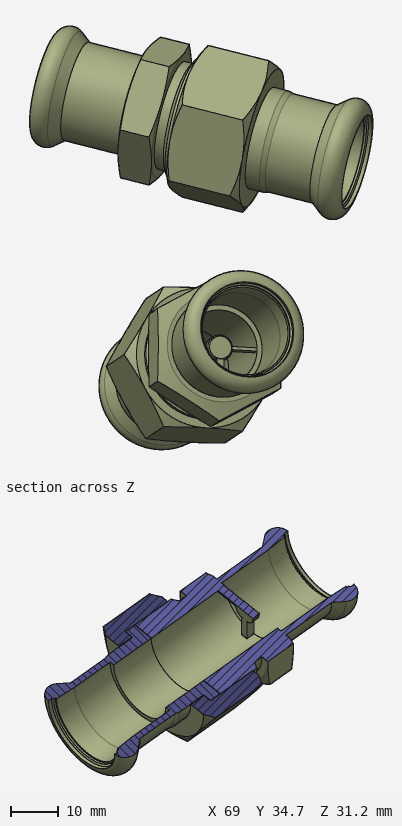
import cadquery as cq
import math


length = 69.0
bore_dia = 16.0

tube_dia = 21.4
bead_dia = 26.2
bead_round = 2.8
bead_back_angle = 38.0
mouth_dia = 20.3
mouth_depth = 0.8
lip_dia = 19.45
lip_step = 1.1
lip_depth = 1.6
socket_dia = 18.8
socket_depth = 6.55
tube_bore_dia = 18.2

hex_start = 20.0
hex_end = 27.95
hex_across_corners = 31.2
hex_chamfer_angle = 15.0
hex_front_circle = 23.4
neck_dia = 23.4
neck_end = 29.95
thread_start = 30.85
thread_dia = 26.4

seat_x = 41.4
collar_dia = 22.0
collar_end = 51.0
collar_taper_end = 52.2
flange_thickness = 2.75

nut_start = 31.8
nut_end = 47.9
nut_across_corners = 34.65
nut_chamfer_angle = 30.0
nut_hole_dia = 22.1

hub_dia = 5.4
hub_chamfer = 0.3
hub_length = 2.1
spoke_setback = 0.1
side_spoke_width = 0.7
bottom_spoke_width = 1.6


def cylinder(start, end, diameter):
    """Round bar along X."""
    return cq.Workplane("YZ", origin=(start, 0, 0)).circle(diameter / 2).extrude(end - start)


def spin(profile):
    """Revolve an (x, radius) profile about the X axis."""
    return profile.close().revolve(360, (0, 0, 0), (1, 0, 0))


def chamfered_hexagon(start, end, across_corners, angle, start_circle, end_circle, turn):
    """Hexagon along X with its corners turned down by a cone at each end."""
    prism = cq.Workplane("YZ").polygon(6, across_corners).extrude(end - start)
    prism = prism.rotate((0, 0, 0), (1, 0, 0), turn).translate((start, 0, 0))
    corner = across_corners / 2
    slope = math.tan(math.radians(angle))
    envelope = spin(
        cq.Workplane("XY")
        .moveTo(start, 0)
        .lineTo(start, start_circle / 2)
        .lineTo(start + (corner - start_circle / 2) * slope, corner)
        .lineTo(end - (corner - end_circle / 2) * slope, corner)
        .lineTo(end, end_circle / 2)
        .lineTo(end, 0)
    )
    return prism.intersect(envelope)


def across_flats(across_corners):
    return across_corners * math.cos(math.pi / 6)


def press_end(tube_end):
    """Solid outside of a press-fit end: rounded bead, cone behind it and tube."""
    center_radius = bead_dia / 2 - bead_round
    angle = math.radians(bead_back_angle)
    tangent_x = bead_round * (1 + math.sin(angle))
    tangent_radius = center_radius + bead_round * math.cos(angle)
    cone_end = tangent_x + (tangent_radius - tube_dia / 2) / math.tan(angle)
    return spin(
        cq.Workplane("XY")
        .lineTo(0, center_radius)
        .threePointArc((bead_round, bead_dia / 2), (tangent_x, tangent_radius))
        .lineTo(cone_end, tube_dia / 2)
        .lineTo(tube_end, tube_dia / 2)
        .lineTo(tube_end, 0)
    )


def socket(depth):
    """Stepped cavity of a press-fit end, with its stop face at the given depth."""
    return spin(
        cq.Workplane("XY")
        .lineTo(0, mouth_dia / 2)
        .lineTo(mouth_depth, mouth_dia / 2)
        .lineTo(lip_step, lip_dia / 2)
        .lineTo(lip_depth, lip_dia / 2)
        .lineTo(lip_depth, socket_dia / 2)
        .lineTo(socket_depth, tube_bore_dia / 2)
        .lineTo(depth, tube_bore_dia / 2)
        .lineTo(depth, 0)
    )


def at_right_end(shape):
    """Turn a shape built at the left end over to the right end."""
    return shape.mirror("YZ").translate((length, 0, 0))


def make_hub():
    """Round hub with one spoke toward -Y and one toward -Z."""
    hub = cylinder(hex_start, hex_start + hub_length, hub_dia).faces("<X").chamfer(hub_chamfer)
    spoke_start = hex_start + spoke_setback
    spoke_length = hub_length - spoke_setback
    reach = (bore_dia + tube_bore_dia) / 4
    side = cq.Workplane("XY").box(spoke_length, reach, side_spoke_width, centered=(False, False, True))
    bottom = cq.Workplane("XY").box(spoke_length, bottom_spoke_width, reach, centered=(False, True, False))
    side = side.translate((spoke_start, -reach, 0))
    bottom = bottom.translate((spoke_start, 0, -reach))
    return hub.union(side).union(bottom)


def make_threaded_tail():
    tail = press_end(hex_start)
    tail = tail.union(
        chamfered_hexagon(
            hex_start, hex_end, hex_across_corners, hex_chamfer_angle,
            hex_front_circle, across_flats(hex_across_corners), 90,
        )
    )
    shank = spin(
        cq.Workplane("XY")
        .moveTo(hex_end, 0)
        .lineTo(hex_end, neck_dia / 2)
        .lineTo(neck_end, neck_dia / 2)
        .lineTo(thread_start, thread_dia / 2)
        .lineTo(seat_x, thread_dia / 2)
        .lineTo(seat_x, 0)
    )
    tail = tail.union(shank).cut(socket(hex_start)).cut(cylinder(0, seat_x, bore_dia))
    return tail.union(make_hub())


def make_plain_tail():
    tail = at_right_end(press_end(length - collar_taper_end))
    collar = spin(
        cq.Workplane("XY")
        .moveTo(seat_x, 0)
        .lineTo(seat_x, thread_dia / 2)
        .lineTo(seat_x + flange_thickness, thread_dia / 2)
        .lineTo(seat_x + flange_thickness, collar_dia / 2)
        .lineTo(collar_end, collar_dia / 2)
        .lineTo(collar_taper_end, tube_dia / 2)
        .lineTo(collar_taper_end, 0)
    )
    tail = tail.union(collar).cut(at_right_end(socket(length - collar_taper_end)))
    return tail.cut(cylinder(seat_x, length, bore_dia))


def make_nut():
    flats = across_flats(nut_across_corners)
    nut = chamfered_hexagon(
        nut_start, nut_end, nut_across_corners, nut_chamfer_angle, flats, flats, 0
    )
    nut = nut.cut(cylinder(nut_start, seat_x + flange_thickness, thread_dia))
    return nut.cut(cylinder(nut_start, nut_end, nut_hole_dia))


threaded_tail = make_threaded_tail()
plain_tail = make_plain_tail()
union_nut = make_nut()

result = cq.Compound.makeCompound([threaded_tail.val(), plain_tail.val(), union_nut.val()])